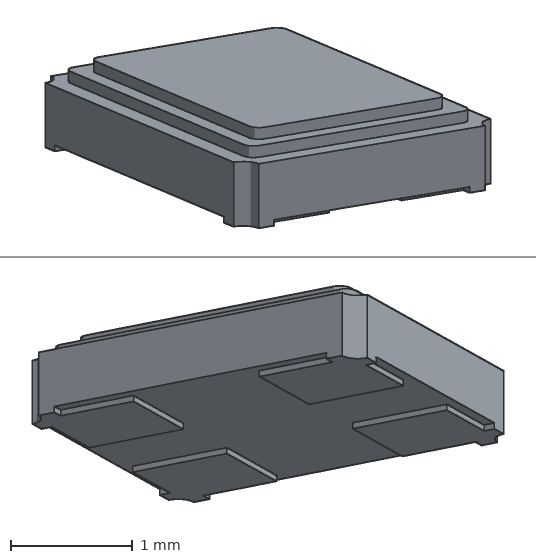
import cadquery as cq

length = 3.2
width = 2.5
height = 0.75
corner_notch_radius = 0.15

tier_height = 0.1
tier_corner_radius = 0.1
lower_tier_inset = 0.17
upper_tier_inset = 0.32
body_top = height - 2 * tier_height

standoff = 0.05
foot_size = 0.3
pad_setback = 0.1
pad_reach_x = 1.0
pad_reach_y = 0.9

corner_signs = [(sx, sy) for sx in (-1, 1) for sy in (-1, 1)]
corners = [(sx * length / 2, sy * width / 2) for sx, sy in corner_signs]


def lid_tier(inset, bottom):
    """Rounded rectangular plate inset equally from all four body sides."""
    return (
        cq.Workplane("XY", origin=(0, 0, bottom))
        .rect(length - 2 * inset, width - 2 * inset)
        .extrude(tier_height)
        .edges("|Z")
        .fillet(tier_corner_radius)
    )


def corner_block(sx, sy, start_x, start_y, end_x, end_y):
    """Standoff block given by its distances inward from one body corner."""
    size_x = end_x - start_x
    size_y = end_y - start_y
    center_x = sx * (length / 2 - start_x - size_x / 2)
    center_y = sy * (width / 2 - start_y - size_y / 2)
    return cq.Workplane("XY").center(center_x, center_y).rect(size_x, size_y).extrude(standoff)


result = cq.Workplane("XY", origin=(0, 0, standoff)).rect(length, width).extrude(body_top - standoff)

for sx, sy in corner_signs:
    foot = corner_block(sx, sy, 0, 0, foot_size, foot_size)
    pad = corner_block(sx, sy, pad_setback, pad_setback, pad_reach_x, pad_reach_y)
    result = result.union(foot).union(pad)

notches = cq.Workplane("XY").pushPoints(corners).circle(corner_notch_radius).extrude(body_top)
result = result.cut(notches)

result = result.union(lid_tier(lower_tier_inset, body_top))
result = result.union(lid_tier(upper_tier_inset, body_top + tier_height))